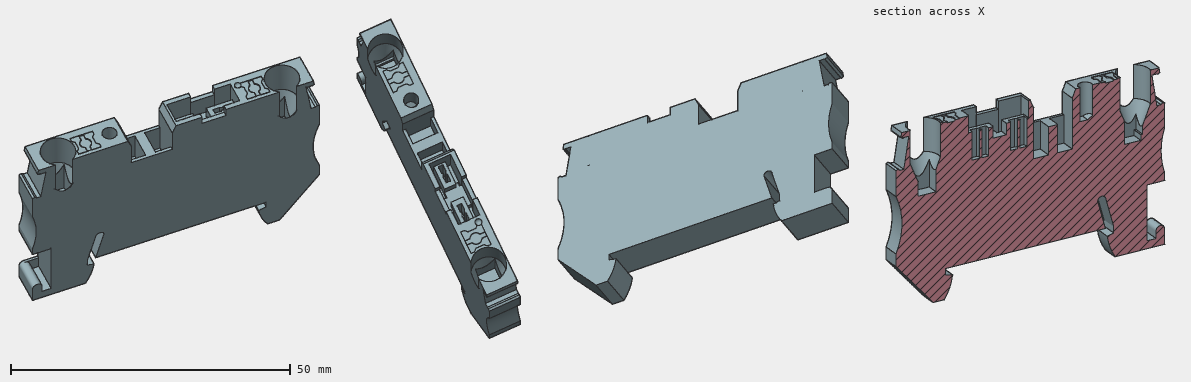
import cadquery as cq
import math

width = 6.15
half_length = 27.95
height = 35.3
half_width = width / 2

lip_y = 26.8
lip_nose_y = 26.95
lip_nose_z = 34.25
lip_bead_y = 26.5
lip_bead_z = 34.0
lip_under_z = 34.1
neck_top_y = 25.3
neck_foot_y = 26.35
shoulder_z = 27.9
bead_foot_y = 27.1
bead_top_y = 27.5
bead_top_z = 28.2
shoulder_edge_z = 28.0
plus_grip_top_z = 22.85
plus_grip_low_z = 11.5
plus_grip_depth = 1.25
minus_grip_top_z = 23.15
minus_grip_low_z = 14.2
minus_grip_depth = 0.7

foot_slope_top_z = 9.0
foot_slope_y = 20.2
rail_z = 6.1
plus_hook_root_y = 17.55
hook_root_z = 4.85
hook_tip_z = 4.5
plus_hook_tip_y = 16.1
plus_hook_mid_y = 16.65
hook_mid_z = 2.25
plus_hook_base_y = 17.85
minus_hook_base_y = -17.6
minus_hook_mid_y = -16.5
minus_hook_tip_y = -15.95
minus_hook_root_y = -17.3
foot_lip_z = 4.0
foot_lip_round = 0.95
foot_notch_y = -24.3
foot_notch_top_z = 12.65
foot_groove_floor_z = 1.7
foot_web = 0.5

slot_low_y = -15.65
slot_top_y = -14.05
slot_top_z = 11.9
slot_width = 1.6
slot_round_y = slot_top_y - slot_width / 2
slot_round_z = 12.65

channel_plus_y = -0.7
channel_minus_y = -8.65
channel_floor_z = 29.1
channel_chamfer_y = 0.7
channel_chamfer_z = 1.7
notch_plus_y = 9.7
notch_minus_y = 5.1
notch_depth = 1.7

wire_x = 0.35
wire_y = 21.8
wire_radius = 3.2
wire_bore_depth = 6.7
wire_cone_depth = 4.45
wire_cone_low_radius = 1.4
shaft_size_x = 3.8
shaft_size_y = 3.65
shaft_y = 21.45
shaft_depth = 13.4
ledge_depth = 12.3
ledge_size_y = 0.4

driver_x = 0.35
driver_y = 16.45
driver_size_x = 3.95
driver_size_y = 4.35
driver_depth = 0.1
driver_dip_depth = 0.5
driver_dip_half_outer = 1.3
driver_dip_half_inner = 0.8
driver_circle_radius = 1.05
driver_slot_size_y = 0.85
driver_slot_depth = 0.35

dimple_x = -1.35
dimple_y = 13.9
dimple_radius = 0.6
test_hole_y = -11.6
test_hole_radius = 1.35
test_hole_depth = 6.7
test_ramp_y = -11.85
test_ramp_angle = 30.0

pocket_half_x = 2.1
pocket_wide_half_x = 2.25
pocket_minus_y = 0.45
pocket_plus_y = 12.8
pocket_floor_z = 29.6
lane_floor_z = 27.95
lane_inner_x = 1.25
plus_lane_end_y = 9.05
minus_lane_end_y = 6.05
near_lane_end_y = 4.35
near_lane_outer_x = -1.75
near_lane_outer_y = 5.05
block_top_z = 31.9
plus_block = (-1.25, 1.25, 7.7, pocket_plus_y)
minus_block = (-1.05, 1.25, pocket_minus_y, 5.05)
contact_half_x = 0.45
contact_depth = 5.6
contact_bead_radius = 0.5
contact_bead_rise = 0.15
plus_contact = (8.7, 12.1, 10.35)
minus_contact = (0.8, 4.1, 2.4)

marker_half_x = 2.45
marker_length = 3.0
marker_depth = 5.6


def box(x_min, x_max, y_min, y_max, z_min, z_max):
    """Axis-aligned block between the given limits."""
    block = cq.Workplane("XY").box(x_max - x_min, y_max - y_min, z_max - z_min, centered=False)
    return block.translate((x_min, y_min, z_min))


def post(x, y, radius, depth, top_z=height):
    """Upright cylinder that reaches down from top_z."""
    return cq.Workplane("XY", origin=(x, y, top_z - depth)).circle(radius).extrude(depth)


def make_body():
    """Housing extruded from its side outline, which starts at the +Y top corner."""
    plus_grip_mid_z = (plus_grip_top_z + plus_grip_low_z) / 2
    minus_grip_mid_z = (minus_grip_top_z + minus_grip_low_z) / 2
    lip_to_shoulder = [
        (lip_y, height),
        (lip_nose_y, lip_nose_z),
        (lip_bead_y, lip_bead_z),
        (lip_bead_y - (lip_under_z - lip_bead_z), lip_under_z),
        (neck_top_y, lip_under_z),
        (neck_foot_y, shoulder_z),
        (bead_foot_y, shoulder_z),
        (bead_top_y, bead_top_z),
        (half_length, shoulder_edge_z),
    ]
    mirrored_end = [(-y, z) for y, z in reversed(lip_to_shoulder)]
    outline = (
        cq.Workplane("YZ", origin=(-half_width, 0, 0))
        .polyline(lip_to_shoulder)
        .lineTo(half_length, plus_grip_top_z)
        .threePointArc((half_length - plus_grip_depth, plus_grip_mid_z), (half_length, plus_grip_low_z))
        .lineTo(half_length, foot_slope_top_z)
        .lineTo(foot_slope_y, 0)
        .lineTo(plus_hook_base_y, 0)
        .threePointArc((plus_hook_mid_y, hook_mid_z), (plus_hook_tip_y, hook_tip_z))
        .lineTo(plus_hook_root_y, hook_root_z)
        .lineTo(plus_hook_root_y, rail_z)
        .lineTo(slot_low_y, rail_z)
        .lineTo(slot_top_y, slot_top_z)
        .threePointArc((slot_round_y, slot_round_z), (slot_top_y - slot_width, slot_top_z))
        .lineTo(minus_hook_root_y, rail_z)
        .lineTo(minus_hook_root_y, hook_root_z)
        .lineTo(minus_hook_tip_y, hook_tip_z)
        .threePointArc((minus_hook_mid_y, hook_mid_z), (minus_hook_base_y, 0))
        .lineTo(-half_length, 0)
        .lineTo(-half_length, foot_lip_z - foot_lip_round)
        .radiusArc((-half_length + foot_lip_round, foot_lip_z), foot_lip_round)
        .lineTo(foot_notch_y, foot_lip_z)
        .lineTo(foot_notch_y, foot_notch_top_z)
        .lineTo(-half_length, foot_notch_top_z)
        .lineTo(-half_length, minus_grip_low_z)
        .threePointArc((-half_length + minus_grip_depth, minus_grip_mid_z), (-half_length, minus_grip_top_z))
    )
    for point in mirrored_end:
        outline = outline.lineTo(*point)
    return outline.close().extrude(width)


def make_foot_groove():
    """Groove behind the foot lip, closed by a thin web on -X; it leaves the lip as a round-topped bar."""
    bar_mid_y = -half_length + foot_lip_round
    bar_inner_y = bar_mid_y + foot_lip_round
    bar_shoulder_z = foot_lip_z - foot_lip_round
    groove = (
        cq.Workplane("YZ", origin=(-half_width + foot_web, 0, 0))
        .moveTo(bar_mid_y, foot_lip_z)
        .radiusArc((bar_inner_y, bar_shoulder_z), foot_lip_round)
        .lineTo(bar_inner_y, foot_groove_floor_z)
        .lineTo(foot_notch_y, foot_groove_floor_z)
        .lineTo(foot_notch_y, foot_lip_z)
        .close()
    )
    return groove.extrude(width - foot_web)


def make_channel():
    """Chamfered channel across the top, with a marker pocket at each side of its floor."""
    chamfer_foot_z = height - channel_chamfer_z
    channel = (
        cq.Workplane("YZ", origin=(-half_width, 0, 0))
        .polyline([
            (channel_plus_y, channel_floor_z),
            (channel_plus_y, chamfer_foot_z),
            (channel_plus_y + channel_chamfer_y, height),
            (channel_minus_y - channel_chamfer_y, height),
            (channel_minus_y, chamfer_foot_z),
            (channel_minus_y, channel_floor_z),
        ])
        .close()
        .extrude(width)
    )
    for y_min in (channel_minus_y, channel_plus_y - marker_length):
        channel = channel.union(box(
            -marker_half_x, marker_half_x,
            y_min, y_min + marker_length,
            channel_floor_z - marker_depth, channel_floor_z,
        ))
    return channel


def make_wire_entry(side):
    """Round bore that narrows in a cone to a square shaft; side is +1 or -1 along Y."""
    bore = post(wire_x, side * wire_y, wire_radius, wire_bore_depth)
    cone = (
        cq.Workplane("XY", origin=(wire_x, side * wire_y, height - wire_bore_depth))
        .circle(wire_radius)
        .workplane(offset=-wire_cone_depth)
        .circle(wire_cone_low_radius)
        .loft()
    )
    shaft = box(
        -shaft_size_x / 2, shaft_size_x / 2,
        side * shaft_y - shaft_size_y / 2, side * shaft_y + shaft_size_y / 2,
        height - shaft_depth, height - wire_bore_depth,
    )
    return bore.union(cone).union(shaft)


def make_shaft_ledge():
    """Low step on the floor of the -Y shaft, along its outer wall."""
    outer_y = -shaft_y - shaft_size_y / 2
    return box(
        -shaft_size_x / 2, shaft_size_x / 2,
        outer_y, outer_y + ledge_size_y,
        height - shaft_depth, height - ledge_depth,
    )


def make_driver_recess(side):
    """Shallow waisted recess with a deeper slot and round centre."""
    half_x = driver_size_x / 2
    half_y = driver_size_y / 2
    dip_y = half_y - driver_dip_depth
    upper_edge = [
        (-half_x, half_y),
        (-driver_dip_half_outer, half_y),
        (-driver_dip_half_inner, dip_y),
        (driver_dip_half_inner, dip_y),
        (driver_dip_half_outer, half_y),
        (half_x, half_y),
    ]
    lower_edge = [(x, -y) for x, y in reversed(upper_edge)]
    centre_y = side * driver_y
    recess = (
        cq.Workplane("XY", origin=(driver_x, centre_y, height - driver_depth))
        .polyline(upper_edge + lower_edge)
        .close()
        .extrude(driver_depth)
    )
    slot = box(
        driver_x - half_x, driver_x + half_x,
        centre_y - driver_slot_size_y / 2, centre_y + driver_slot_size_y / 2,
        height - driver_slot_depth, height,
    )
    centre = post(driver_x, centre_y, driver_circle_radius, driver_slot_depth)
    return recess.union(slot).union(centre)


def make_test_hole():
    """Round hole whose floor rises as a ramp on the -Y side."""
    floor_z = height - test_hole_depth
    ramp_run = 2 * test_hole_radius
    ramp_rise = ramp_run * math.tan(math.radians(test_ramp_angle))
    ramp = (
        cq.Workplane("YZ", origin=(-half_width, 0, 0))
        .polyline([
            (test_ramp_y, floor_z),
            (test_ramp_y - ramp_run, floor_z),
            (test_ramp_y - ramp_run, floor_z + ramp_rise),
        ])
        .close()
        .extrude(width)
    )
    return post(0, test_hole_y, test_hole_radius, test_hole_depth).cut(ramp)


def make_contact(y_min, y_max, bead_y):
    """Contact slit, pinched by a rounded bead on each long side."""
    floor_z = block_top_z - contact_depth
    slit = box(-contact_half_x, contact_half_x, y_min, y_max, floor_z, block_top_z)
    bead_x = contact_half_x + contact_bead_radius - contact_bead_rise
    for side in (1, -1):
        slit = slit.cut(post(side * bead_x, bead_y, contact_bead_radius, contact_depth, block_top_z))
    return slit


def make_bridge_pocket():
    """Open pocket with lowered side lanes and two standing contact blocks."""
    pocket = box(-pocket_half_x, pocket_half_x, pocket_minus_y, pocket_plus_y, pocket_floor_z, height)
    pocket = pocket.union(box(
        -pocket_wide_half_x, pocket_wide_half_x, notch_minus_y, notch_plus_y, pocket_floor_z, height,
    ))
    lanes = [
        (-pocket_half_x, -lane_inner_x, plus_lane_end_y, pocket_plus_y),
        (lane_inner_x, pocket_half_x, plus_lane_end_y, pocket_plus_y),
        (-pocket_wide_half_x, -lane_inner_x, plus_lane_end_y, notch_plus_y),
        (lane_inner_x, pocket_wide_half_x, plus_lane_end_y, notch_plus_y),
        (lane_inner_x, pocket_half_x, pocket_minus_y, minus_lane_end_y),
        (lane_inner_x, pocket_wide_half_x, notch_minus_y, minus_lane_end_y),
        (-pocket_half_x, minus_block[0], pocket_minus_y, near_lane_end_y),
        (-pocket_half_x, near_lane_outer_x, pocket_minus_y, near_lane_outer_y),
    ]
    for limits in lanes:
        pocket = pocket.union(box(*limits, lane_floor_z, pocket_floor_z))
    for limits in (plus_block, minus_block):
        pocket = pocket.cut(box(*limits, lane_floor_z, block_top_z))
    for contact in (plus_contact, minus_contact):
        pocket = pocket.union(make_contact(*contact))
    return pocket


result = make_body().cut(make_foot_groove())
result = result.cut(make_channel())
result = result.cut(box(
    -half_width, half_width, notch_minus_y, notch_plus_y, height - notch_depth, height,
))
for end in (1, -1):
    result = result.cut(make_wire_entry(end))
    result = result.cut(make_driver_recess(end))
result = result.union(make_shaft_ledge())
result = result.cut(cq.Workplane("XY").sphere(dimple_radius).translate((dimple_x, dimple_y, height)))
result = result.cut(make_test_hole())
result = result.cut(make_bridge_pocket())